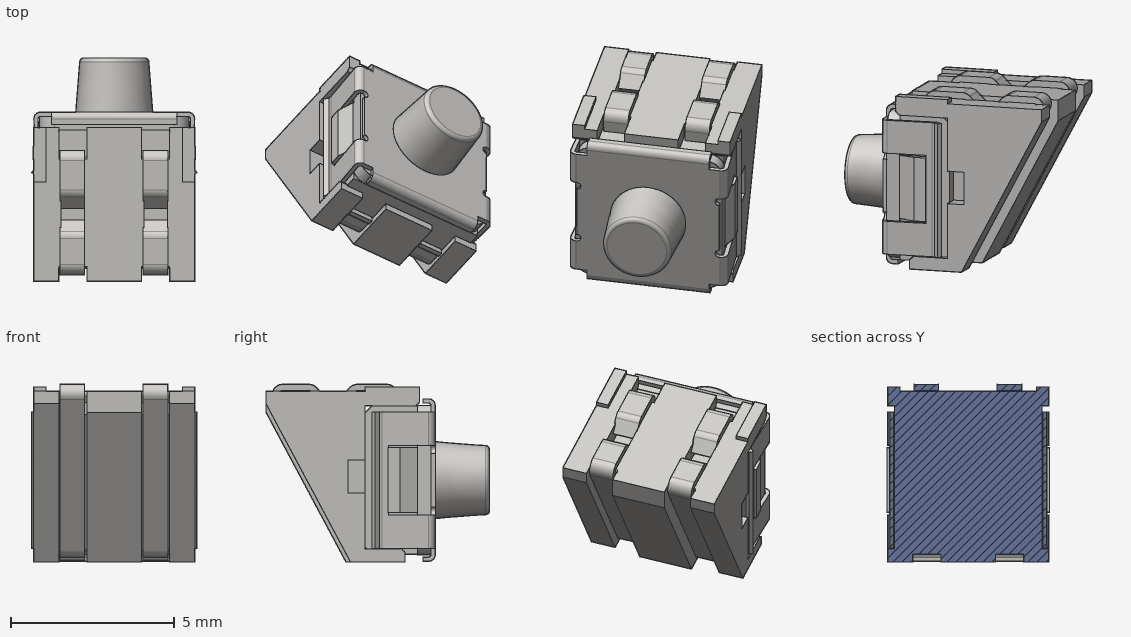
import cadquery as cq
import math


holder_half_width = 2.46
holder_top = 2.717
holder_bottom = -2.505
holder_back = -3.03
slope_rise = 1.873
side_slope_top = 2.335
centre_slope_top = 2.07
upper_arm_end = 1.665
lower_arm_end = 1.22
lower_arm_top = -2.10
arm_chamfer = 0.11
rail_width = 0.38
rail_height = 0.13
pocket_length = 0.53
pocket_height = 1.01
pocket_depth = 0.60
pocket_z = 0.113

slot_spacing = 2.53
slot_width = 0.85
lip_gap = 0.72
lip_base = 2.0
terminal_pitch = 2.54
terminal_shift = -0.015
terminal_width = 0.76
terminal_thickness = 0.20
terminal_radius = 0.315
terminal_top = 2.93
terminal_bottom = -2.365
terminal_foot_end = 0.50
front_flat_start = 0.66
front_flat_end = -0.234
rear_flat_start = -1.722
rear_flat_end = -2.52
bump_slope_angle = math.pi / 4
trough_z = 2.49
trough_floor = 2.18
foot_lip_length = 0.20
foot_lip_depth = 0.075

body_half_width = 2.26
body_half_height = 2.27
body_front = 1.595
body_chamfer = 0.21
flange_half_size = 2.285
flange_corner = 0.465
hook_reach = 2.485
hook_crest_y = 1.07
hook_end_y = 0.70
hook_half_height = 0.99

cover_front = 2.145
sheet = 0.135
cover_half_width = 2.46
cover_half_height = 2.485
cover_radius = 0.21
side_half_height = 2.085
side_end = 0.21
tab_half_width = 1.91
tab_end = 1.765
window_half_height = 1.06
window_end = 0.715
notch_half_width = 2.22
flare_reach = 2.525
relief_radius = 0.12
lean_x = 2.395
lean_end = 0.52
flare_start = 0.44
flare_start_rise = 0.012
flare_tip = 0.30

plunger_tip = 3.80
plunger_tip_radius = 1.05
plunger_base_radius = 1.18
plunger_fillet = 0.13

flange_front = cover_front - sheet
overshoot = 1.0


def box(x0, x1, y0, y1, z0, z1):
    """Box given by its limits along each axis."""
    return cq.Workplane("XY").box(x1 - x0, y1 - y0, z1 - z0, centered=False).translate((x0, y0, z0))


def side_prism(outline, x_middle, width):
    """Extrude a closed YZ outline symmetrically about x_middle."""
    return outline.extrude(width / 2, both=True).translate((x_middle, 0, 0))


def holder_block(width, slope_top):
    """Wedge centred on X = 0 with an upper and a lower arm around the body seat."""
    slope_end = holder_back + (slope_top - holder_bottom) / slope_rise
    outline = cq.Workplane("YZ").polyline([
        (upper_arm_end, holder_top),
        (holder_back, holder_top),
        (holder_back, slope_top),
        (slope_end, holder_bottom),
        (lower_arm_end, holder_bottom),
        (lower_arm_end, lower_arm_top - arm_chamfer),
        (lower_arm_end - arm_chamfer, lower_arm_top),
        (0, lower_arm_top),
        (0, body_half_height),
        (upper_arm_end - arm_chamfer, body_half_height),
        (upper_arm_end, body_half_height + arm_chamfer),
    ]).close()
    return side_prism(outline, 0, width)


def terminal_outline(inset):
    """Closed YZ outline of a terminal's outer surface, shrunk inwards by inset."""
    radius = terminal_radius - inset
    top = terminal_top - inset
    bottom = terminal_bottom + inset
    front = front_flat_start + radius
    arc_z = terminal_top - terminal_radius
    diagonal = radius * math.sin(bump_slope_angle)
    trough = trough_z - inset
    drop = arc_z + diagonal - trough
    half_step = bump_slope_angle / 2

    length = math.hypot(slope_rise, 1)
    normal_y = -slope_rise / length
    normal_z = -1 / length
    bend_z = terminal_bottom + terminal_radius
    bend_y = rear_flat_end + (arc_z - bend_z) / slope_rise

    normal_angle = math.pi + math.asin(1 / length)
    rear_mid = (math.pi / 2 + normal_angle) / 2
    bend_mid = (normal_angle + 3 * math.pi / 2) / 2

    def on_arc(centre_y, centre_z, angle):
        return (centre_y + radius * math.cos(angle), centre_z + radius * math.sin(angle))

    return (
        cq.Workplane("YZ")
        .moveTo(front, body_half_height)
        .lineTo(front, arc_z)
        .threePointArc(on_arc(front_flat_start, arc_z, math.pi / 4), (front_flat_start, top))
        .lineTo(front_flat_end, top)
        .threePointArc(
            on_arc(front_flat_end, arc_z, math.pi / 2 + half_step),
            (front_flat_end - diagonal, arc_z + diagonal),
        )
        .lineTo(front_flat_end - diagonal - drop, trough)
        .lineTo(rear_flat_start + diagonal + drop, trough)
        .lineTo(rear_flat_start + diagonal, arc_z + diagonal)
        .threePointArc(
            on_arc(rear_flat_start, arc_z, math.pi / 2 - half_step), (rear_flat_start, top)
        )
        .lineTo(rear_flat_end, top)
        .threePointArc(
            on_arc(rear_flat_end, arc_z, rear_mid),
            (rear_flat_end + radius * normal_y, arc_z + radius * normal_z),
        )
        .lineTo(bend_y + radius * normal_y, bend_z + radius * normal_z)
        .threePointArc(on_arc(bend_y, bend_z, bend_mid), (bend_y, bottom))
        .lineTo(terminal_foot_end, bottom)
        .lineTo(terminal_foot_end, body_half_height)
        .close()
    )


def prong_gap(x_middle):
    """Trapezoid between the bump ends, cut square to their 45 degree slopes."""
    drop_from_arc_centre = terminal_top - terminal_radius - trough_z
    run = 2 * terminal_radius * math.sin(bump_slope_angle) + drop_from_arc_centre
    depth = trough_z - trough_floor
    outline = cq.Workplane("YZ").polyline([
        (front_flat_end - run, trough_z),
        (rear_flat_start + run, trough_z),
        (rear_flat_start + run - depth, trough_floor),
        (front_flat_end - run + depth, trough_floor),
    ]).close()
    return side_prism(outline, x_middle, lip_gap)


def make_slot(x_middle):
    """Space around a terminal, leaving the holder core and the gripping lips."""
    half = slot_width / 2
    slot = box(
        x_middle - half, x_middle + half,
        holder_back - overshoot, upper_arm_end + overshoot,
        holder_bottom - overshoot, holder_top + overshoot,
    )
    lips = box(
        x_middle - half, x_middle + half,
        rear_flat_end, front_flat_start, lip_base, holder_top,
    )
    gap = box(
        x_middle - lip_gap / 2, x_middle + lip_gap / 2,
        rear_flat_end, front_flat_start, lip_base, holder_top,
    )
    core = side_prism(terminal_outline(terminal_thickness), x_middle, slot_width)
    return slot.cut(core).cut(lips.cut(gap))


def make_terminal(x_middle):
    """Bent strip wrapped round the holder core, with a small lip at its foot."""
    outer = side_prism(terminal_outline(0), x_middle, terminal_width)
    inner = side_prism(terminal_outline(terminal_thickness), x_middle, terminal_width)
    lip_start = terminal_foot_end - foot_lip_length
    foot_lip = cq.Workplane("YZ").polyline([
        (lip_start, terminal_bottom),
        (lip_start + foot_lip_depth / slope_rise, terminal_bottom - foot_lip_depth),
        (terminal_foot_end, terminal_bottom - foot_lip_depth),
        (terminal_foot_end, terminal_bottom + terminal_thickness),
        (lip_start, terminal_bottom + terminal_thickness),
    ]).close()
    foot_lip = side_prism(foot_lip, x_middle, terminal_width)
    return outer.cut(inner).union(foot_lip)


def make_holder():
    """Wedge holder with two terminal slots, top rails and side pockets."""
    centre_width = slot_spacing - slot_width
    holder = holder_block(2 * holder_half_width, side_slope_top)
    holder = holder.union(holder_block(centre_width, centre_slope_top))
    for side in (-1, 1):
        holder = holder.cut(make_slot(side * slot_spacing / 2))
        rail_x = side * (holder_half_width - rail_width / 2)
        rail = box(
            rail_x - rail_width / 2, rail_x + rail_width / 2,
            0, upper_arm_end, holder_top, holder_top + rail_height,
        )
        pocket_x = side * (holder_half_width - pocket_depth / 2)
        pocket = box(
            pocket_x - pocket_depth / 2, pocket_x + pocket_depth / 2,
            -pocket_length, 0, pocket_z - pocket_height / 2, pocket_z + pocket_height / 2,
        )
        holder = holder.union(rail).cut(pocket)
    return holder


def make_body():
    """Block with a rounded front flange and a snap hook on each side."""
    body = box(
        -body_half_width, body_half_width, 0, body_front, -body_half_height, body_half_height
    ).faces("<Y").edges("|X").chamfer(body_chamfer)
    flange = box(
        -flange_half_size, flange_half_size, body_front, flange_front,
        -flange_half_size, flange_half_size,
    ).edges("|Y").fillet(flange_corner)
    body = body.union(flange)
    for side in (-1, 1):
        hook = (
            cq.Workplane("XY")
            .polyline([
                (0, body_front),
                (side * flange_half_size, body_front),
                (side * hook_reach, hook_crest_y),
                (side * hook_reach, hook_end_y),
                (0, hook_end_y),
            ])
            .close()
            .extrude(hook_half_height, both=True)
        )
        body = body.union(hook)
    return body


def make_side_wall():
    """Cover wall on the +X side: rounded front corner, inward lean, flared rear edge."""
    flare_run = flare_start - flare_tip
    flare_start_x = lean_x + flare_start_rise
    flare_slope = (flare_reach - flare_start_x) / flare_run
    end_x = flare_reach - math.sqrt(sheet**2 - (flare_tip - side_end) ** 2)
    crease_x = lean_x - sheet
    crease_y = side_end + (end_x - crease_x) / flare_slope
    outline = (
        cq.Workplane("XY")
        .moveTo(notch_half_width, cover_front)
        .lineTo(cover_half_width - cover_radius, cover_front)
        .radiusArc((cover_half_width, cover_front - cover_radius), cover_radius)
        .lineTo(lean_x, lean_end)
        .lineTo(flare_start_x, flare_start)
        .lineTo(flare_reach, flare_tip)
        .lineTo(end_x, side_end)
        .lineTo(crease_x, crease_y)
        .lineTo(cover_half_width - sheet, cover_front - cover_radius)
        .radiusArc((cover_half_width - cover_radius, flange_front), sheet - cover_radius)
        .lineTo(notch_half_width, flange_front)
        .close()
    )
    wall = outline.extrude(side_half_height, both=True)
    window = box(
        notch_half_width - sheet, cover_half_width + sheet, window_end, cover_front,
        -window_half_height, window_half_height,
    )
    return wall.cut(window)


def make_tab():
    """Cover tab on the +Z side, bent back towards -Y."""
    outline = (
        cq.Workplane("YZ")
        .moveTo(cover_front, 0)
        .lineTo(cover_front, cover_half_height - cover_radius)
        .radiusArc((cover_front - cover_radius, cover_half_height), -cover_radius)
        .lineTo(tab_end, cover_half_height)
        .lineTo(tab_end, cover_half_height - sheet)
        .lineTo(cover_front - cover_radius, cover_half_height - sheet)
        .radiusArc((flange_front, cover_half_height - cover_radius), cover_radius - sheet)
        .lineTo(flange_front, 0)
        .close()
    )
    return side_prism(outline, 0, 2 * tab_half_width)


def make_cover():
    """Sheet cover: front plate, windowed side walls, short top and bottom tabs."""
    plate = box(
        -notch_half_width, notch_half_width, flange_front, cover_front,
        -side_half_height, side_half_height,
    )
    wall = make_side_wall()
    tab = make_tab()
    cover = plate.union(wall).union(wall.mirror("YZ")).union(tab).union(tab.mirror("XY"))
    reliefs = (
        cq.Workplane("XZ", origin=(0, flange_front, 0))
        .rect(2 * notch_half_width, 2 * (window_half_height - relief_radius), forConstruction=True)
        .vertices()
        .circle(relief_radius)
        .extrude(-sheet)
    )
    return cover.cut(reliefs)


def make_plunger():
    """Tapered round plunger with a rounded tip."""
    profile = (
        cq.Workplane("XY")
        .polyline([
            (0, flange_front),
            (plunger_base_radius, flange_front),
            (plunger_base_radius, cover_front),
            (plunger_tip_radius, plunger_tip),
            (0, plunger_tip),
        ])
        .close()
    )
    plunger = profile.revolve(360, (0, 0, 0), (0, 1, 0))
    return plunger.faces(">Y").edges().fillet(plunger_fillet)


result = make_holder()
for side in (-1, 1):
    result = result.union(make_terminal(terminal_shift + side * terminal_pitch / 2))
    result = result.cut(prong_gap(side * slot_spacing / 2))
result = result.union(make_body()).union(make_cover()).union(make_plunger())